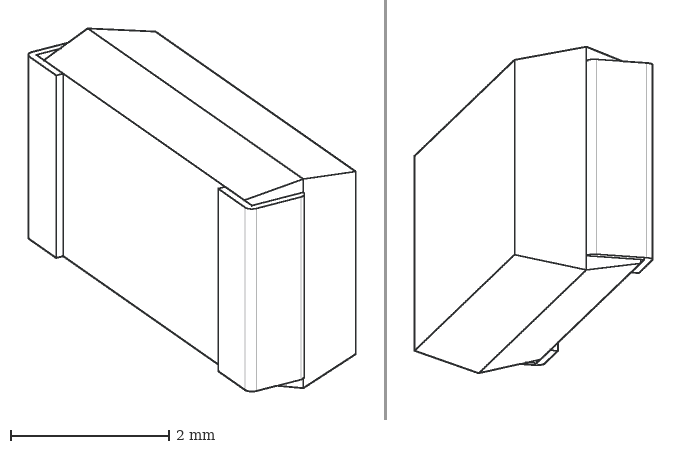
import cadquery as cq

LENGTH = 5.46
HEIGHT = 1.75
WIDTH = 2.92

LEAD_THICKNESS = 0.105
LEAD_FOOT_LENGTH = 0.76
LEAD_CORNER_RADIUS = LEAD_THICKNESS

PARTING_HEIGHT = 0.86
TAPER_INSET = 0.185
CASE_LENGTH = LENGTH - 2 * LEAD_THICKNESS
FLAT_LENGTH = CASE_LENGTH - 2 * TAPER_INSET
FLAT_WIDTH = WIDTH - 2 * TAPER_INSET
LEAD_WIDTH = FLAT_WIDTH

MOUNTING_Y = -HEIGHT / 2
UNDERSIDE_Y = MOUNTING_Y + LEAD_THICKNESS
PARTING_Y = MOUNTING_Y + PARTING_HEIGHT
TOP_Y = HEIGHT / 2


def make_case_half(flat_y):
    """Frustum from the parting plane to the smaller flat face at flat_y."""
    parting_plane = cq.Plane(origin=(0, PARTING_Y, 0), xDir=(1, 0, 0), normal=(0, 1, 0))
    return (
        cq.Workplane(parting_plane)
        .rect(CASE_LENGTH, WIDTH)
        .workplane(offset=flat_y - PARTING_Y)
        .rect(FLAT_LENGTH, FLAT_WIDTH)
        .loft(ruled=True)
    )


def make_lead(side):
    """L-shaped lead at the -X end (side = -1) or the +X end (side = 1)."""
    outer_x = side * LENGTH / 2
    inner_x = side * CASE_LENGTH / 2
    toe_x = side * (LENGTH / 2 - LEAD_FOOT_LENGTH)
    corner_x = outer_x - side * LEAD_CORNER_RADIUS
    arc_radius = -side * LEAD_CORNER_RADIUS
    return (
        cq.Workplane("XY")
        .moveTo(toe_x, MOUNTING_Y)
        .lineTo(corner_x, MOUNTING_Y)
        .radiusArc((outer_x, MOUNTING_Y + LEAD_CORNER_RADIUS), arc_radius)
        .lineTo(outer_x, PARTING_Y - LEAD_CORNER_RADIUS)
        .radiusArc((corner_x, PARTING_Y), arc_radius)
        .lineTo(inner_x, UNDERSIDE_Y)
        .lineTo(toe_x, UNDERSIDE_Y)
        .close()
        .extrude(LEAD_WIDTH / 2, both=True)
    )


case_top = make_case_half(TOP_Y)
case_bottom = make_case_half(UNDERSIDE_Y)
leads = [make_lead(side).val() for side in (-1, 1)]

result = cq.Compound.makeCompound([case_top.val(), case_bottom.val(), *leads])